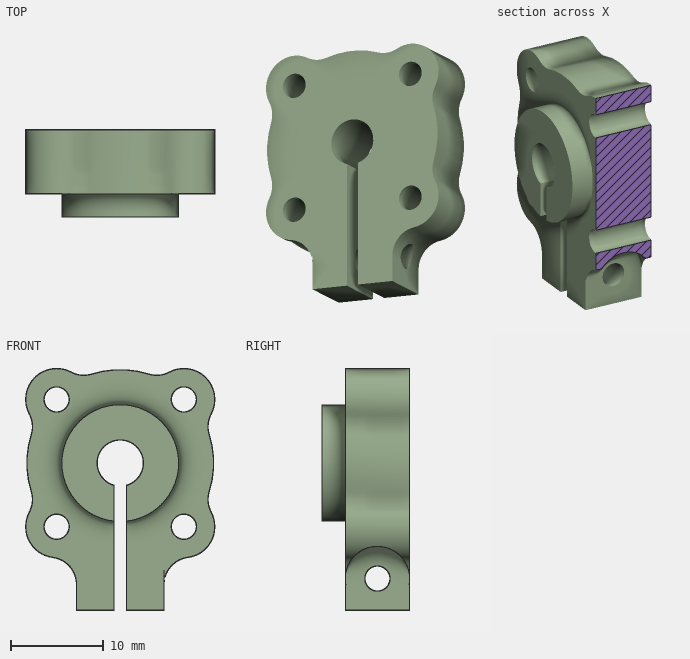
import cadquery as cq
import math

plate_thickness = 6.99
boss_height = 2.54
boss_diameter = 12.7
bore_diameter = 5.0

bolt_circle_diameter = 19.558
lobe_radius = 3.37
side_radius = 10.16
blend_radius = 2.97
bolt_hole_diameter = 2.705

foot_width = 9.525
foot_depth = 16.002
slot_width = 1.32
clamp_hole_diameter = 2.705
clamp_hole_edge_distance = 3.45
spotface_diameter = 7.0

bolt_radius = bolt_circle_diameter / 2
bolt_offset = bolt_radius / math.sqrt(2)
bolt_points = [(sx * bolt_offset, sz * bolt_offset) for sx in (-1, 1) for sz in (-1, 1)]


def polar(radius, degrees):
    """Point at a radius and angle around the bore axis, in the XZ plane."""
    angle = math.radians(degrees)
    return (radius * math.cos(angle), radius * math.sin(angle))


def toward(start, end, distance):
    """Point at a distance from start along the line to end."""
    scale = distance / math.dist(start, end)
    return tuple(s + (e - s) * scale for s, e in zip(start, end))


def mirror_x(point):
    return (-point[0], point[1])


def disc(diameter, depth, points=((0, 0),)):
    """Cylinders along +Y, starting at the plate's front face."""
    plane = cq.Workplane("XZ").pushPoints(list(points))
    return plane.circle(diameter / 2).extrude(-depth)


def blend_angle():
    """Angle, seen from the bore, between a lobe centre and its neighbouring blend centre."""
    to_blend = side_radius + blend_radius
    lobe_to_blend = lobe_radius + blend_radius
    cosine = (to_blend**2 + bolt_radius**2 - lobe_to_blend**2) / (2 * to_blend * bolt_radius)
    return math.degrees(math.acos(cosine))


def blend_points(lobe_angle, side):
    """Lobe end, middle and side end of the concave arc on one side of a lobe."""
    lobe = polar(bolt_radius, lobe_angle)
    angle = lobe_angle + side * blend_angle()
    centre = polar(side_radius + blend_radius, angle)
    lobe_end = toward(lobe, centre, lobe_radius)
    side_end = polar(side_radius, angle)
    chord_middle = tuple((a + b) / 2 for a, b in zip(lobe_end, side_end))
    return lobe_end, toward(centre, chord_middle, blend_radius), side_end


def foot_blend_points():
    """Lobe end, middle and foot end of the concave arc from the lower right lobe to the foot."""
    lobe = (bolt_offset, -bolt_offset)
    centre_x = foot_width / 2 + blend_radius
    drop = math.sqrt((lobe_radius + blend_radius) ** 2 - (centre_x - bolt_offset) ** 2)
    centre = (centre_x, -bolt_offset - drop)
    lobe_end = toward(lobe, centre, lobe_radius)
    foot_end = (foot_width / 2, centre[1])
    chord_middle = tuple((a + b) / 2 for a, b in zip(lobe_end, foot_end))
    return lobe_end, toward(centre, chord_middle, blend_radius), foot_end


def plate():
    foot_lobe_end, foot_blend_middle, foot_end = foot_blend_points()
    lower_lobe_middle = polar(bolt_radius + lobe_radius, -45)
    upper_lobe_middle = polar(bolt_radius + lobe_radius, 45)
    lower = blend_points(-45, 1)
    upper = blend_points(45, -1)
    top = blend_points(45, 1)

    outline = (
        cq.Workplane("XZ")
        .moveTo(-foot_width / 2, -foot_depth)
        .lineTo(foot_width / 2, -foot_depth)
        .lineTo(*foot_end)
        .threePointArc(foot_blend_middle, foot_lobe_end)
        .threePointArc(lower_lobe_middle, lower[0])
        .threePointArc(lower[1], lower[2])
        .threePointArc((side_radius, 0), upper[2])
        .threePointArc(upper[1], upper[0])
        .threePointArc(upper_lobe_middle, top[0])
        .threePointArc(top[1], top[2])
        .threePointArc((0, side_radius), mirror_x(top[2]))
        .threePointArc(mirror_x(top[1]), mirror_x(top[0]))
        .threePointArc(mirror_x(upper_lobe_middle), mirror_x(upper[0]))
        .threePointArc(mirror_x(upper[1]), mirror_x(upper[2]))
        .threePointArc((-side_radius, 0), mirror_x(lower[2]))
        .threePointArc(mirror_x(lower[1]), mirror_x(lower[0]))
        .threePointArc(mirror_x(lower_lobe_middle), mirror_x(foot_lobe_end))
        .threePointArc(mirror_x(foot_blend_middle), mirror_x(foot_end))
        .close()
    )
    return outline.extrude(-plate_thickness)


def boss():
    return cq.Workplane("XZ").circle(boss_diameter / 2).extrude(boss_height)


def bore():
    total_depth = plate_thickness + boss_height
    return disc(bore_diameter, total_depth).translate((0, -boss_height, 0))


def clamp_slot():
    """Slit from the bore axis down through the foot."""
    total_depth = plate_thickness + boss_height
    slit = cq.Workplane("XY").box(slot_width, total_depth, foot_depth, centered=(True, False, False))
    return slit.translate((0, -boss_height, -foot_depth))


def clamp_cylinder(diameter, start_x, end_x):
    """Cylinder along the clamp screw axis, which runs across the foot in X."""
    axis_z = clamp_hole_edge_distance - foot_depth
    cylinder = cq.Workplane("YZ").circle(diameter / 2).extrude(end_x - start_x)
    return cylinder.translate((start_x, plate_thickness / 2, axis_z))


def clamp_hole():
    half_width = bolt_offset + lobe_radius
    return clamp_cylinder(clamp_hole_diameter, -half_width, half_width)


def screw_head_spotface():
    """Clearance for the screw head on the +X side, flush with the foot and as wide as the plate."""
    return clamp_cylinder(spotface_diameter, foot_width / 2, bolt_offset + lobe_radius)


result = (
    plate()
    .union(boss())
    .cut(bore())
    .cut(clamp_slot())
    .cut(disc(bolt_hole_diameter, plate_thickness, bolt_points))
    .cut(clamp_hole())
    .cut(screw_head_spotface())
)